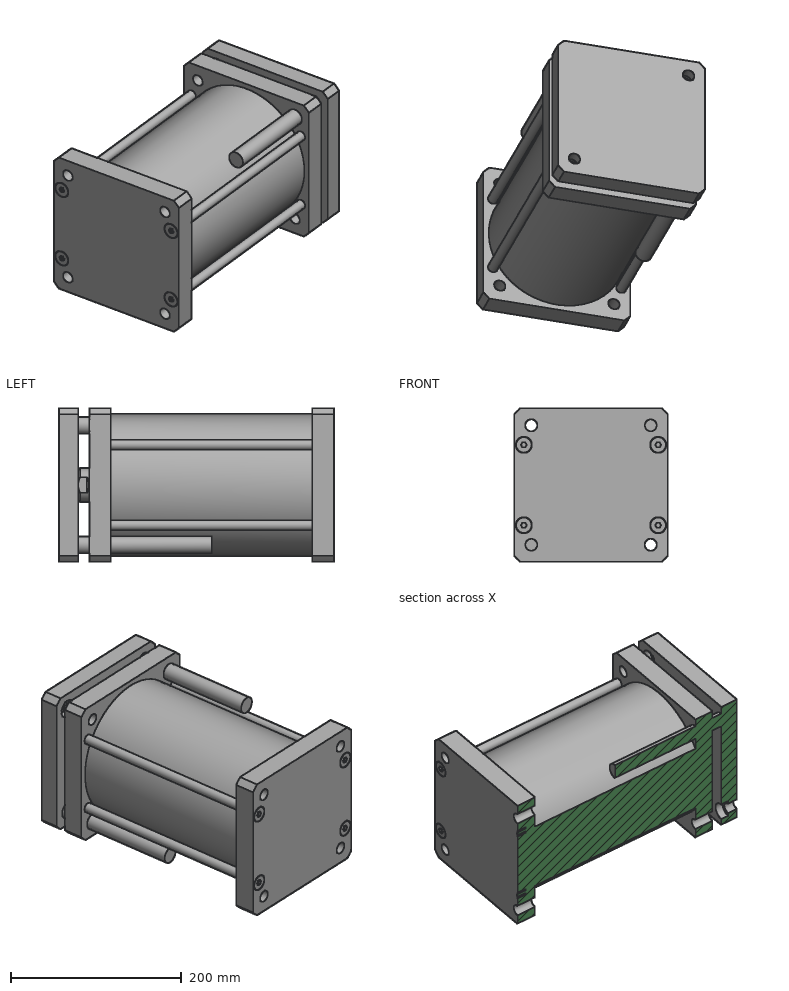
import cadquery as cq

total_length = 322.0
plate_side = 180.0
corner_circle_diameter = 244.5
end_plate_thickness = 25.8
head_thickness = 25.0
tool_plate_thickness = 23.0
tool_plate_gap = 13.0

tool_plate_front = total_length - tool_plate_thickness
head_back = tool_plate_front - tool_plate_gap
head_front = head_back - head_thickness

tube_diameter = 167.0
tie_rod_diameter = 12.0
tie_rod_x = 78.5
tie_rod_z = 47.0

screw_pocket_diameter = 19.0
screw_head_diameter = 18.0
screw_pocket_depth = 12.0
socket_across_corners = 6.8
socket_depth = 3.0

pattern_offset = 70.0
mounting_hole_diameter = 14.0
counterbore_diameter = 22.0
counterbore_depth = 10.0
guide_rod_diameter = 20.0
guide_rod_front = 143.0

piston_rod_diameter = 40.0
piston_rod_chamfer = 2.0
wrench_flat_width = 35.5
wrench_flat_length = 10.0

tie_rod_points = [(x, z) for x in (-tie_rod_x, tie_rod_x) for z in (-tie_rod_z, tie_rod_z)]
guide_rod_points = [(-pattern_offset, -pattern_offset), (pattern_offset, pattern_offset)]
mounting_points = [(-pattern_offset, pattern_offset), (pattern_offset, -pattern_offset)]


def plane_at(y):
    """XZ sketch plane at position y, extruding toward +Y, with local axes (X, -Z)."""
    return cq.Workplane(cq.Plane(origin=(0, y, 0), xDir=(1, 0, 0), normal=(0, 1, 0)))


def at(points):
    """Turn (X, Z) positions into local positions of the sketch plane."""
    return [(x, -z) for x, z in points]


def plate(start, thickness):
    """Square plate whose corners are turned down to a circle."""
    block = plane_at(start).rect(plate_side, plate_side).extrude(thickness)
    disc = plane_at(start).circle(corner_circle_diameter / 2).extrude(thickness)
    return block.intersect(disc)


def rods(points, diameter, start, end):
    return plane_at(start).pushPoints(at(points)).circle(diameter / 2).extrude(end - start)


def end_plate():
    """Front plate with four mounting holes and four flush socket screws."""
    body = plate(0, end_plate_thickness)
    body = body.cut(rods(guide_rod_points + mounting_points, mounting_hole_diameter, 0, end_plate_thickness))
    clearance = rods(tie_rod_points, screw_pocket_diameter, 0, screw_pocket_depth)
    clearance = clearance.cut(rods(tie_rod_points, screw_head_diameter, 0, screw_pocket_depth))
    sockets = (
        plane_at(0)
        .pushPoints(at(tie_rod_points))
        .polygon(6, socket_across_corners)
        .extrude(socket_depth)
    )
    return body.cut(clearance).cut(sockets)


def head():
    holes = rods(mounting_points, mounting_hole_diameter, head_front, head_back)
    return plate(head_front, head_thickness).cut(holes)


def tool_plate():
    """Moving plate, its mounting holes counterbored on the side facing the head."""
    holes = rods(mounting_points, mounting_hole_diameter, tool_plate_front, total_length)
    bores = rods(mounting_points, counterbore_diameter, tool_plate_front, tool_plate_front + counterbore_depth)
    return plate(tool_plate_front, tool_plate_thickness).cut(holes).cut(bores)


def piston_rod():
    """Rod between head and tool plate, with flats that run out at 45 degrees."""
    rod = plane_at(head_back).circle(piston_rod_diameter / 2).extrude(tool_plate_gap)
    rod = rod.faces(">Y").chamfer(piston_rod_chamfer)
    half_flat = wrench_flat_width / 2
    flat_start = tool_plate_front - wrench_flat_length
    runout = piston_rod_diameter / 2 - half_flat
    flat_cut = (
        cq.Workplane("XY")
        .polyline([
            (half_flat, tool_plate_front),
            (half_flat, flat_start),
            (half_flat + runout, flat_start - runout),
            (half_flat + runout, tool_plate_front),
        ])
        .close()
        .extrude(piston_rod_diameter / 2, both=True)
    )
    return rod.cut(flat_cut).cut(flat_cut.mirror("YZ"))


tube = plane_at(end_plate_thickness).circle(tube_diameter / 2).extrude(head_front - end_plate_thickness)
tie_rods = rods(tie_rod_points, tie_rod_diameter, end_plate_thickness, head_front)
guide_rods = rods(guide_rod_points, guide_rod_diameter, guide_rod_front, tool_plate_front)

result = (
    end_plate()
    .union(tube)
    .union(tie_rods)
    .union(head())
    .union(piston_rod())
    .union(guide_rods)
    .union(tool_plate())
)